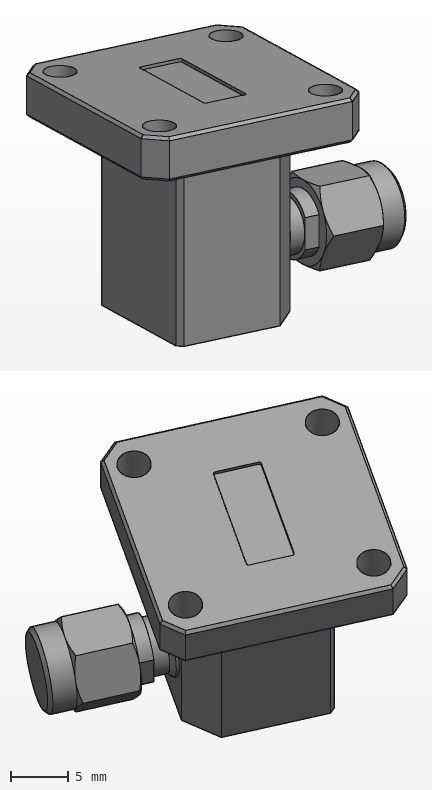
import cadquery as cq
import math

flange_side = 22.35
flange_thickness = 4.1
flange_corner = 1.8
flange_edge_chamfer = 0.28
hole_diameter = 2.95
hole_spacing_x = 16.28
hole_spacing_y = 17.02

window_length = 10.8
window_width = 4.32
window_depth = 0.3
window_corner_radius = 0.22

total_height = 21.6
block_side = 13.17
block_offset_y = 1.05
block_front_chamfer = 0.5
block_back_chamfer = 2.8
block_back_y = block_offset_y + block_side / 2

total_length = 30.85
connector_end_y = total_length - flange_side / 2
connector_z = -15.25
sleeve_length = 2.55
sleeve_diameter = 7.83
sleeve_end_chamfer = 0.37
hex_length = 5.83
hex_across_flats = sleeve_diameter
hex_chamfer_angle = 30.0
collar_length = 1.45
collar_diameter = 6.2
collar_across_flats = 5.43
neck_length = 1.45
neck_diameter = 5.3
thread_diameter = 6.23

hex_end_y = connector_end_y - sleeve_length
hex_start_y = hex_end_y - hex_length
collar_start_y = hex_start_y - collar_length
neck_start_y = collar_start_y - neck_length


def along_y(start_y):
    """Workplane on the connector axis at start_y, extruding towards +Y."""
    return cq.Workplane(cq.Plane((0, start_y, connector_z), (1, 0, 0), (0, 1, 0)))


def make_flange():
    plate = (
        cq.Workplane("XY")
        .rect(flange_side, flange_side)
        .extrude(-flange_thickness)
        .edges("|Z")
        .chamfer(flange_corner)
        .faces("<Z or >Z")
        .edges()
        .chamfer(flange_edge_chamfer)
    )
    holes = (
        cq.Workplane("XY")
        .rect(hole_spacing_x, hole_spacing_y, forConstruction=True)
        .vertices()
        .circle(hole_diameter / 2)
        .extrude(-flange_thickness)
    )
    window = (
        cq.Workplane("XY")
        .rect(window_length, window_width)
        .extrude(-window_depth)
        .edges("|Z")
        .fillet(window_corner_radius)
    )
    return plate.cut(holes).cut(window)


def make_block():
    return (
        cq.Workplane("XY", origin=(0, block_offset_y, -flange_thickness))
        .rect(block_side, block_side)
        .extrude(flange_thickness - total_height)
        .edges("|Z and <Y")
        .chamfer(block_front_chamfer)
        .edges("|Z and >Y")
        .chamfer(block_back_chamfer)
    )


def make_hex_nut():
    """Hexagon with corners on +-X, its corners turned off at both ends."""
    across_corners = hex_across_flats / math.cos(math.radians(30))
    corner_radius = across_corners / 2
    flat_radius = hex_across_flats / 2
    cut_length = (corner_radius - flat_radius) * math.tan(math.radians(hex_chamfer_angle))
    prism = along_y(hex_start_y).polygon(6, across_corners).extrude(hex_length)
    envelope = (
        cq.Workplane("XY", origin=(0, 0, connector_z))
        .moveTo(0, hex_start_y)
        .lineTo(flat_radius, hex_start_y)
        .lineTo(corner_radius, hex_start_y + cut_length)
        .lineTo(corner_radius, hex_end_y - cut_length)
        .lineTo(flat_radius, hex_end_y)
        .lineTo(0, hex_end_y)
        .close()
        .revolve(360, (0, 0), (0, 1))
    )
    return prism.intersect(envelope)


def make_connector():
    sleeve = (
        along_y(hex_end_y)
        .circle(sleeve_diameter / 2)
        .extrude(sleeve_length)
        .faces(">Y")
        .edges()
        .chamfer(sleeve_end_chamfer)
    )
    collar_flats = along_y(collar_start_y).rect(collar_across_flats, collar_diameter).extrude(collar_length)
    collar = along_y(collar_start_y).circle(collar_diameter / 2).extrude(collar_length).intersect(collar_flats)
    neck = along_y(neck_start_y).circle(neck_diameter / 2).extrude(neck_length)
    root = (
        along_y(block_back_y)
        .circle(thread_diameter / 2)
        .extrude(neck_start_y - block_back_y)
        .faces(">Y")
        .edges()
        .chamfer((thread_diameter - neck_diameter) / 2)
    )
    return sleeve.union(make_hex_nut()).union(collar).union(neck).union(root)


result = make_flange().union(make_block()).union(make_connector())